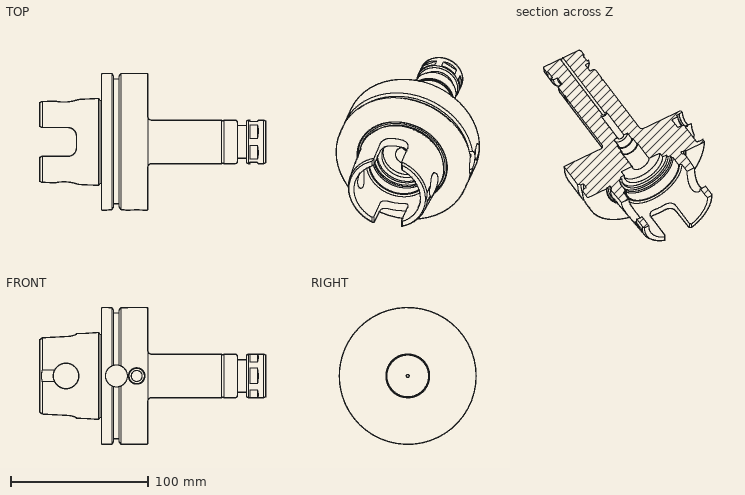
import cadquery as cq

shank_end = -45.0
flange_end = 34.0
nose_end = 120.0

taper_base_radius = 31.85
taper_ratio = 10.0
taper_base = -2.0
relief_slope_end = -1.0
relief_radius = 30.4
tip_chamfer_length = 2.0
tip_chamfer_depth = 1.0
face_recess_radius = 34.0
face_recess_depth = 0.6
undercut_radius = 32.2
undercut_depth = 1.2

flange_radius = 50.0
flange_edge_radius = 1.0
groove_radius = 46.0
groove_floor_start = 9.0
groove_floor_end = 12.8
groove_lip_length = 1.4
groove_lip_depth = 2.0

extension_radius = 16.0
root_fillet = 2.5
ring_groove_start = 87.5
ring_groove_end = 89.5
ring_groove_radius = 31.2 / 2
extension_end = 99.4
extension_edge_radius = 2.0
neck_radius = 12.0
nut_start = 105.8
nut_radius = 16.0
nut_chamfer_length = 1.5
nut_chamfer_depth = 0.8

flat_count = 6
flat_start = 108.3
flat_end = 113.9
flat_run_out = 0.7
flat_distance = 14.95
cutter_depth_factor = 2

mouth_radius = 25.0
mouth_chamfer_length = 2.6
pilot_radius = 24.7
pilot_end = -9.2
shoulder_cone_radius = 23.2
shoulder_cone_end = -8.3
chamber_radius = 22.5
chamber_end = -0.5
chamber_chamfer = 0.8
seat_end = 2.0
pocket_radius = 19.6
pocket_end = 4.0
recess_radius = 16.3
recess_end = 8.0
coolant_bore_radius = 14.0 / 2
coolant_bore_end = 24.0
thread_bore_radius = 12.8 / 2
thread_bore_end = 30.0
thread_core_radius = 11.2 / 2
thread_core_end = 36.0
feed_radius = 5.0 / 2
feed_end = 60.0
through_radius = 2.0 / 2

slot_width = 20.8
slot_bottom = -18.3
slot_corner_radius = 6.0
slot_mouth_chamfer_width = 1.0
slot_mouth_chamfer_length = 1.6

cross_hole_diameter = 18.5
cross_hole_x = -25.8
keyway_width = 8.4
keyway_floor = 29.45

chip_hole_diameter = 16.0
chip_hole_x = 11.0
chip_hole_floor = 45.0
screw_hole_x = 25.8
screw_mouth_diameter = 12.0
screw_mouth_floor = 47.0
screw_core_diameter = 11.2
screw_core_floor = 45.0
screw_tip_diameter = 8.0
screw_tip_floor = 40.0


def taper_radius(x):
    return taper_base_radius + (x - taper_base) / (2 * taper_ratio)


def revolve_about_x(outline):
    return outline.close().revolve(360, (0, 0, 0), (1, 0, 0))


def make_body():
    tip_shoulder = shank_end + tip_chamfer_length
    nut_shoulder = nose_end - nut_chamfer_length
    outline = (
        cq.Workplane("XY")
        .moveTo(shank_end, 0)
        .lineTo(shank_end, taper_radius(tip_shoulder) - tip_chamfer_depth)
        .lineTo(tip_shoulder, taper_radius(tip_shoulder))
        .lineTo(taper_base, taper_base_radius)
        .lineTo(relief_slope_end, relief_radius)
        .lineTo(undercut_depth, relief_radius)
        .lineTo(face_recess_depth, undercut_radius)
        .lineTo(face_recess_depth, face_recess_radius - face_recess_depth)
        .lineTo(0, face_recess_radius)
        .lineTo(0, flange_radius - flange_edge_radius)
        .radiusArc((flange_edge_radius, flange_radius), flange_edge_radius)
        .lineTo(groove_floor_start - groove_lip_length, flange_radius)
        .lineTo(groove_floor_start, flange_radius - groove_lip_depth)
        .lineTo(groove_floor_start, groove_radius)
        .lineTo(groove_floor_end, groove_radius)
        .lineTo(groove_floor_end, flange_radius - groove_lip_depth)
        .lineTo(groove_floor_end + groove_lip_length, flange_radius)
        .lineTo(flange_end - flange_edge_radius, flange_radius)
        .radiusArc((flange_end, flange_radius - flange_edge_radius), flange_edge_radius)
        .lineTo(flange_end, extension_radius + root_fillet)
        .radiusArc((flange_end + root_fillet, extension_radius), -root_fillet)
        .lineTo(ring_groove_start, extension_radius)
        .lineTo(ring_groove_start, ring_groove_radius)
        .lineTo(ring_groove_end, ring_groove_radius)
        .lineTo(ring_groove_end, extension_radius)
        .lineTo(extension_end - extension_edge_radius, extension_radius)
        .radiusArc((extension_end, extension_radius - extension_edge_radius), extension_edge_radius)
        .lineTo(extension_end, neck_radius)
        .lineTo(nut_start, neck_radius)
        .lineTo(nut_start, nut_radius - nut_chamfer_depth)
        .lineTo(nut_start + nut_chamfer_length, nut_radius)
        .lineTo(nut_shoulder, nut_radius)
        .lineTo(nose_end, nut_radius - nut_chamfer_depth)
        .lineTo(nose_end, 0)
    )
    return revolve_about_x(outline)


def make_bore():
    outline = (
        cq.Workplane("XY")
        .moveTo(shank_end, 0)
        .lineTo(shank_end, mouth_radius)
        .lineTo(shank_end + mouth_chamfer_length, pilot_radius)
        .lineTo(pilot_end, pilot_radius)
        .lineTo(shoulder_cone_end, shoulder_cone_radius)
        .lineTo(shoulder_cone_end, chamber_radius)
        .lineTo(chamber_end, chamber_radius)
        .lineTo(chamber_end + chamber_chamfer, chamber_radius - chamber_chamfer)
        .lineTo(seat_end, chamber_radius - chamber_chamfer)
        .lineTo(seat_end, pocket_radius)
        .lineTo(pocket_end, pocket_radius)
        .lineTo(pocket_end, recess_radius)
        .lineTo(recess_end, recess_radius)
        .lineTo(recess_end, coolant_bore_radius)
        .lineTo(coolant_bore_end, coolant_bore_radius)
        .lineTo(coolant_bore_end, thread_bore_radius)
        .lineTo(thread_bore_end, thread_bore_radius)
        .lineTo(thread_bore_end, thread_core_radius)
        .lineTo(thread_core_end, thread_core_radius)
        .lineTo(thread_core_end, feed_radius)
        .lineTo(feed_end, feed_radius)
        .lineTo(feed_end, through_radius)
        .lineTo(nose_end, through_radius)
        .lineTo(nose_end, 0)
    )
    return revolve_about_x(outline)


def make_drive_slots():
    length = slot_bottom - shank_end
    slot = (
        cq.Workplane("XY")
        .center(shank_end + length / 2, 0)
        .rect(length, slot_width)
        .extrude(flange_radius, both=True)
        .edges("|Z and >X")
        .fillet(slot_corner_radius)
    )
    half_width = slot_width / 2
    mouth_half_width = half_width + slot_mouth_chamfer_width
    flare_end = shank_end + slot_mouth_chamfer_length
    flare = (
        cq.Workplane("XY")
        .moveTo(shank_end, -mouth_half_width)
        .lineTo(flare_end, -half_width)
        .lineTo(flare_end, half_width)
        .lineTo(shank_end, mouth_half_width)
        .close()
        .extrude(flange_radius, both=True)
    )
    return slot.union(flare)


def make_keyways():
    length = cross_hole_x - shank_end
    depth = flange_radius - keyway_floor
    center_y = keyway_floor + depth / 2
    keyway = cq.Workplane("XY").box(length, depth, keyway_width)
    keyway = keyway.translate((shank_end + length / 2, -center_y, 0))
    return keyway.union(keyway.mirror("XZ"))


def radial_hole(x, diameter, floor):
    return (
        cq.Workplane("XZ", origin=(x, -floor, 0))
        .circle(diameter / 2)
        .extrude(flange_radius - floor)
    )


def make_screw_hole():
    mouth = radial_hole(screw_hole_x, screw_mouth_diameter, screw_mouth_floor)
    core = radial_hole(screw_hole_x, screw_core_diameter, screw_core_floor)
    tip = radial_hole(screw_hole_x, screw_tip_diameter, screw_tip_floor)
    return mouth.union(core).union(tip)


def make_cross_hole():
    hole = cq.Workplane("XZ", origin=(cross_hole_x, 0, 0)).circle(cross_hole_diameter / 2)
    return hole.extrude(flange_radius, both=True)


def make_wrench_flats():
    depth = nut_radius - flat_distance
    outer_y = -flat_distance - cutter_depth_factor * depth
    outer_end = flat_end + cutter_depth_factor * flat_run_out
    wedge = (
        cq.Workplane("XY")
        .moveTo(flat_start, -flat_distance)
        .lineTo(flat_end, -flat_distance)
        .lineTo(outer_end, outer_y)
        .lineTo(flat_start, outer_y)
        .close()
        .extrude(nut_radius / 2, both=True)
    )
    cutters = wedge
    for index in range(1, flat_count):
        cutters = cutters.union(wedge.rotate((0, 0, 0), (1, 0, 0), index * 360 / flat_count))
    return cutters


result = (
    make_body()
    .cut(make_bore())
    .cut(make_drive_slots())
    .cut(make_cross_hole())
    .cut(make_keyways())
    .cut(radial_hole(chip_hole_x, chip_hole_diameter, chip_hole_floor))
    .cut(make_screw_hole())
    .cut(make_wrench_flats())
)